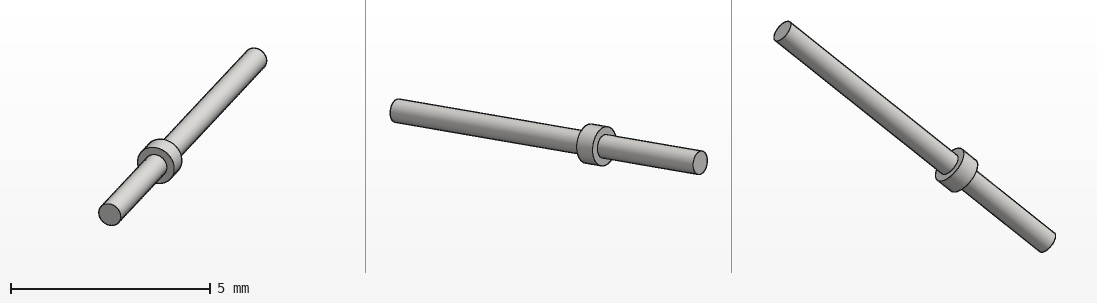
import cadquery as cq

rod_diameter = 0.6
collar_diameter = 1.0
front_length = 3.0
collar_width = 0.5
rear_length = 6.0

rod_radius = rod_diameter / 2
collar_radius = collar_diameter / 2
front_end = -front_length
rear_end = collar_width + rear_length


def make_pin():
    """Revolve the half profile, drawn in the YZ plane, about the Y axis."""
    half_profile = (
        cq.Workplane("YZ")
        .moveTo(front_end, 0)
        .lineTo(front_end, rod_radius)
        .lineTo(0, rod_radius)
        .lineTo(0, collar_radius)
        .lineTo(collar_width, collar_radius)
        .lineTo(collar_width, rod_radius)
        .lineTo(rear_end, rod_radius)
        .lineTo(rear_end, 0)
        .close()
    )
    return half_profile.revolve(360, (0, 0, 0), (1, 0, 0))


result = make_pin()